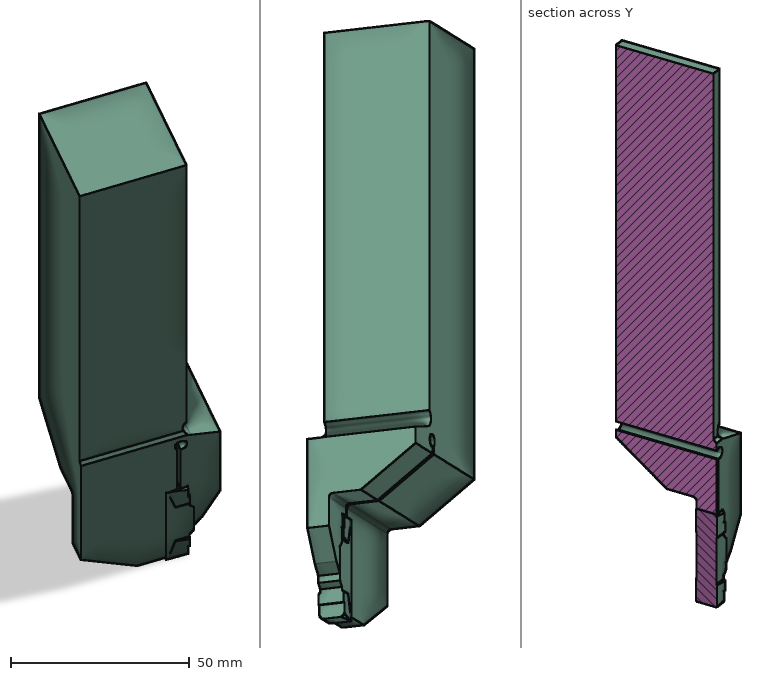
import cadquery as cq
import math

TOTAL_HEIGHT = 170.0
SHANK_SIZE = 32.0
HEAD_DEPTH = 41.6

BLADE_WIDTH = 6.6
BLADE_OFFSET = 1.0
BLADE_RIGHT = SHANK_SIZE + BLADE_OFFSET
BLADE_LEFT = BLADE_RIGHT - BLADE_WIDTH
OFFSET_TOP = 53.5
SHOULDER_HEIGHT = 33.3
SHOULDER_LEFT = 16.7
SHANK_BOTTOM_LEFT = 45.0
SHOULDER_FILLET = 1.2

BLADE_BOTTOM = 1.4
FRONT_BEVEL_DEPTH = 16.8
FRONT_BEVEL_HEIGHT = 11.2
JAW_TOP_HEIGHT = 49.8
JAW_TOP_ANGLE = math.radians(15)
JAW_BACK_BOTTOM = 24.0
JAW_KINK = (36.4, 15.0)
JAW_TIP_HEIGHT = 12.0
RELIEF_RADIUS = 2.7
RELIEF_DEPTH = 1.2

SLIT_WIDTH = 1.0
SLIT_Y = 29.2
HOLE_DIAMETER = 3.5
HOLE_Y = 30.0
HOLE_Z = 48.8

INSERT_LENGTH = 30.0
INSERT_MIDDLE = INSERT_LENGTH / 2
INSERT_FLOOR = 25.5
EDGE_Y = 32.0
LIP_Y = 32.5
CREST_Y = 33.8
END_RELIEF = 0.3
RAKE_LENGTH = 4.0
LIP_END = 8.5
CREST_START = 10.0

SIDE_OVERHANG = 0.5
HEAD_WIDTH = BLADE_WIDTH + 2 * SIDE_OVERHANG
HEAD_LENGTH = 7.6
HEAD_BACK_Y = 28.2
HEAD_FLOOR = 26.7
HEAD_FLOOR_LENGTH = 2.7
CORNER_RADIUS = 1.4


def side_outline(points):
    """Open outline through (Y, Z) points at X = 0, to be closed and extruded along X."""
    return cq.Workplane("YZ").polyline(points)


def holder_side():
    """Side shape of the holder, as deep in X as the whole holder."""
    relief_y = SHANK_SIZE - RELIEF_DEPTH + RELIEF_RADIUS
    tangent_y = relief_y - RELIEF_RADIUS * math.sin(JAW_TOP_ANGLE)
    tangent_z = JAW_TOP_HEIGHT + (HEAD_DEPTH - tangent_y) * math.tan(JAW_TOP_ANGLE)
    relief_z = tangent_z + RELIEF_RADIUS * math.cos(JAW_TOP_ANGLE)
    relief_rise = math.sqrt(RELIEF_RADIUS**2 - (relief_y - SHANK_SIZE) ** 2)
    return (
        cq.Workplane("YZ")
        .moveTo(0, TOTAL_HEIGHT)
        .lineTo(SHANK_SIZE, TOTAL_HEIGHT)
        .lineTo(SHANK_SIZE, relief_z + relief_rise)
        .threePointArc((relief_y - RELIEF_RADIUS, relief_z), (tangent_y, tangent_z))
        .lineTo(HEAD_DEPTH, JAW_TOP_HEIGHT)
        .lineTo(HEAD_DEPTH, JAW_BACK_BOTTOM)
        .lineTo(*JAW_KINK)
        .lineTo(CREST_Y, JAW_TIP_HEIGHT)
        .lineTo(INSERT_FLOOR, JAW_TIP_HEIGHT)
        .lineTo(INSERT_FLOOR, BLADE_BOTTOM)
        .lineTo(FRONT_BEVEL_DEPTH, BLADE_BOTTOM)
        .lineTo(0, FRONT_BEVEL_HEIGHT)
        .close()
        .extrude(BLADE_RIGHT)
    )


def holder_front():
    """Front shape of the holder: shank, sloped underside and narrow blade."""
    outline = [
        (0, TOTAL_HEIGHT),
        (SHANK_SIZE, TOTAL_HEIGHT),
        (SHANK_SIZE, OFFSET_TOP),
        (BLADE_RIGHT, OFFSET_TOP - BLADE_OFFSET),
        (BLADE_RIGHT, 0),
        (BLADE_LEFT, 0),
        (BLADE_LEFT, SHOULDER_HEIGHT),
        (SHOULDER_LEFT, SHOULDER_HEIGHT),
        (0, SHANK_BOTTOM_LEFT),
    ]
    shape = cq.Workplane("XZ").polyline(outline).close().extrude(-HEAD_DEPTH)
    inner_corner = cq.selectors.NearestToPointSelector((BLADE_LEFT, HEAD_DEPTH / 2, SHOULDER_HEIGHT))
    return shape.edges(inner_corner).fillet(SHOULDER_FILLET)


def clamping_slit():
    """Slit from the insert seat up to a round hole, through the whole width."""
    slit_height = HOLE_Z - INSERT_MIDDLE
    slit = (
        cq.Workplane("YZ")
        .center(SLIT_Y, INSERT_MIDDLE + slit_height / 2)
        .rect(SLIT_WIDTH, slit_height)
        .extrude(BLADE_RIGHT)
    )
    hole = cq.Workplane("YZ").center(HOLE_Y, HOLE_Z).circle(HOLE_DIAMETER / 2).extrude(BLADE_RIGHT)
    return slit.union(hole)


def insert_core():
    """Insert at blade width; it also gives the shape of the seat."""
    lower_half = [
        (INSERT_FLOOR, END_RELIEF),
        (EDGE_Y, 0),
        (EDGE_Y, RAKE_LENGTH),
        (LIP_Y, RAKE_LENGTH),
        (LIP_Y, LIP_END),
        (CREST_Y, CREST_START),
    ]
    upper_half = [(y, INSERT_LENGTH - z) for y, z in reversed(lower_half)]
    return side_outline(lower_half + upper_half).close().extrude(BLADE_WIDTH).translate((BLADE_LEFT, 0, 0))


def lower_cutting_head():
    """Wide cutting end: sides taper from the edge to the blade, back end is ramped."""
    head_left = BLADE_LEFT - SIDE_OVERHANG
    head_right = BLADE_RIGHT + SIDE_OVERHANG
    floor_relief = END_RELIEF * (EDGE_Y - HEAD_FLOOR) / (EDGE_Y - INSERT_FLOOR)
    side = [
        (EDGE_Y, 0),
        (EDGE_Y, RAKE_LENGTH),
        (LIP_Y, RAKE_LENGTH),
        (LIP_Y, HEAD_LENGTH),
        (HEAD_BACK_Y, HEAD_LENGTH),
        (HEAD_FLOOR, HEAD_FLOOR_LENGTH),
        (HEAD_FLOOR, floor_relief),
    ]
    plan = [
        (BLADE_LEFT, HEAD_FLOOR),
        (BLADE_RIGHT, HEAD_FLOOR),
        (head_right, EDGE_Y),
        (head_right, LIP_Y),
        (head_left, LIP_Y),
        (head_left, EDGE_Y),
    ]
    front = [
        (head_left, 0),
        (head_right, 0),
        (head_right, HEAD_LENGTH - SIDE_OVERHANG),
        (BLADE_RIGHT, HEAD_LENGTH),
        (BLADE_LEFT, HEAD_LENGTH),
        (head_left, HEAD_LENGTH - SIDE_OVERHANG),
    ]
    head = side_outline(side).close().extrude(HEAD_WIDTH).translate((head_left, 0, 0))
    head = head.intersect(cq.Workplane("XY").polyline(plan).close().extrude(HEAD_LENGTH))
    return head.intersect(cq.Workplane("XZ").polyline(front).close().extrude(-HEAD_DEPTH))


def rounded_envelope():
    """Block around the insert that rounds the corners of both cutting edges."""
    return (
        cq.Workplane("XZ")
        .center((BLADE_LEFT + BLADE_RIGHT) / 2, INSERT_MIDDLE)
        .rect(HEAD_WIDTH, INSERT_LENGTH)
        .extrude(-HEAD_DEPTH)
        .edges("|Y")
        .fillet(CORNER_RADIUS)
    )


def make_holder():
    return holder_side().intersect(holder_front()).cut(clamping_slit()).cut(insert_core())


def make_insert():
    lower_head = lower_cutting_head()
    upper_head = lower_head.mirror("XY", (0, 0, INSERT_MIDDLE))
    return insert_core().union(lower_head).union(upper_head).intersect(rounded_envelope())


holder = make_holder()
insert = make_insert()

result = cq.Compound.makeCompound([holder.solids().val(), insert.solids().val()])